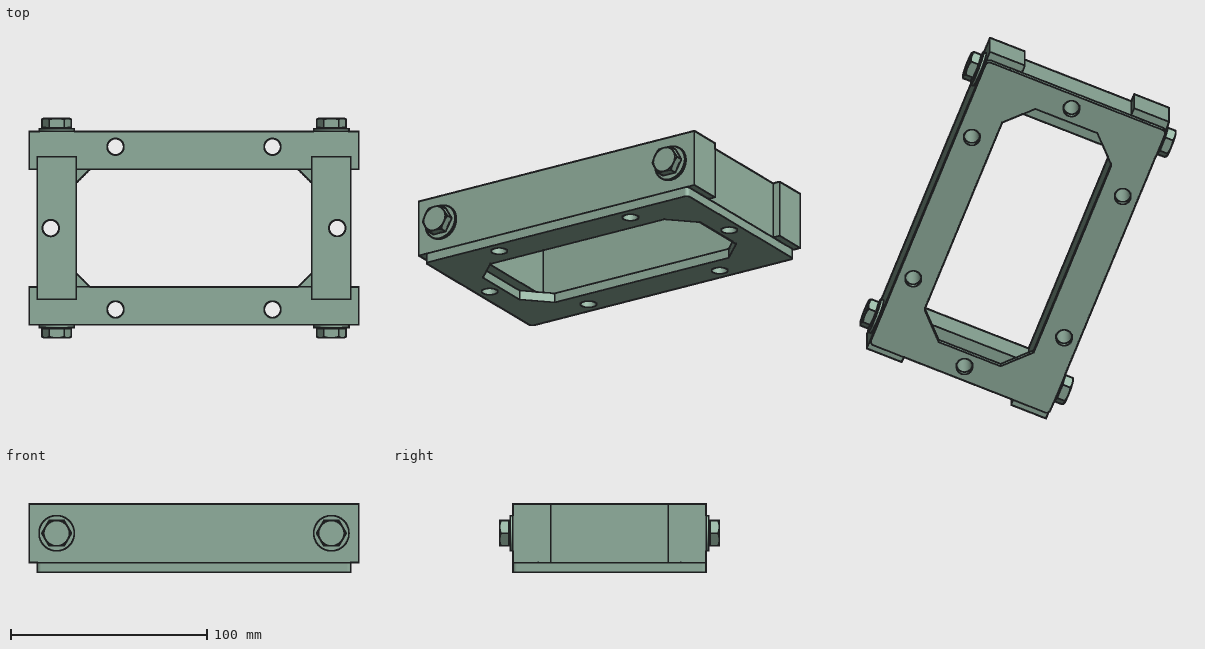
import cadquery as cq
import math

frame_length = 168.0
opening_length = 120.0
opening_width = 60.0
bar_width = 19.25
bar_height = 30.0
frame_width = opening_width + 2 * bar_width
hole_diameter = 8.3
long_hole_x = 40.0
long_hole_y = 41.45

end_bar_thickness = 20.0
notch_depth = 6.25
end_bar_inner_x = opening_length / 2
end_bar_outer_x = end_bar_inner_x + end_bar_thickness
end_bar_x = (end_bar_inner_x + end_bar_outer_x) / 2
end_bar_length = opening_width + 2 * notch_depth
end_hole_x = 73.0

gasket_height = 5.0
gasket_corner_radius = 2.0
gasket_length = 2 * end_bar_outer_x
gasket_end_width = 2 * (end_bar_outer_x - end_hole_x)
gasket_opening_length = gasket_length - 2 * gasket_end_width
corner_exposure = 7.0
gasket_inner_chamfer = corner_exposure + (gasket_opening_length - opening_length) / 2

bolt_diameter = 8.0
bolt_length = 25.0
flange_diameter = 18.0
flange_thickness = 1.4
collar_diameter = 11.5
collar_thickness = 0.6
head_across_flats = 13.0
head_height = 4.7
head_bevel_angle = math.radians(30)
bolt_x = end_bar_x
bolt_z = gasket_height + bar_height / 2

bar_hole_points = [(x, y) for x in (-long_hole_x, long_hole_x) for y in (-long_hole_y, long_hole_y)]
end_hole_points = [(-end_hole_x, 0), (end_hole_x, 0)]


def mounting_holes():
    """Vertical holes through the bars and the gasket."""
    return (
        cq.Workplane("XY")
        .pushPoints(bar_hole_points + end_hole_points)
        .circle(hole_diameter / 2)
        .extrude(gasket_height + bar_height)
    )


def bolt_shank(side_x, side_y):
    """Shank from the outer face of a long bar inwards to an end bar."""
    return (
        cq.Workplane("XZ", origin=(side_x * bolt_x, side_y * frame_width / 2, bolt_z))
        .circle(bolt_diameter / 2)
        .extrude(side_y * bolt_length)
    )


def end_bar_block(side_x):
    return (
        cq.Workplane("XY", origin=(side_x * end_bar_x, 0, gasket_height))
        .rect(end_bar_thickness, end_bar_length)
        .extrude(bar_height)
    )


def end_bar(side_x):
    bar = end_bar_block(side_x).cut(mounting_holes())
    for side_y in (-1, 1):
        bar = bar.cut(bolt_shank(side_x, side_y))
    return bar


def long_bar(side_y):
    """Long bar with a notch for each end bar and a hole for each bolt."""
    bar = (
        cq.Workplane("XY", origin=(0, side_y * (opening_width + bar_width) / 2, gasket_height))
        .rect(frame_length, bar_width)
        .extrude(bar_height)
        .cut(mounting_holes())
    )
    for side_x in (-1, 1):
        bar = bar.cut(end_bar_block(side_x)).cut(bolt_shank(side_x, side_y))
    return bar


def gasket():
    """Flat ring, set back under the end bars, with rounded outer corners and chamfered opening corners."""
    opening = (
        cq.Workplane("XY")
        .rect(gasket_opening_length, opening_width)
        .extrude(gasket_height)
        .edges("|Z")
        .chamfer(gasket_inner_chamfer)
    )
    return (
        cq.Workplane("XY")
        .rect(gasket_length, frame_width)
        .extrude(gasket_height)
        .edges("|Z")
        .fillet(gasket_corner_radius)
        .cut(opening)
        .cut(mounting_holes())
    )


def bolt_head(side_x, side_y):
    """Flange, narrow collar and hexagon, stacked outwards from the long bar."""
    collar_start = flange_thickness
    hexagon_start = collar_start + collar_thickness
    head_end = hexagon_start + head_height
    across_corners = head_across_flats / math.cos(math.pi / 6)
    bevel_width = (across_corners - head_across_flats) / 2
    bevel_depth = bevel_width * math.tan(head_bevel_angle)

    def section(start):
        outer_y = side_y * (frame_width / 2 + start)
        return cq.Workplane("XZ", origin=(side_x * bolt_x, outer_y, bolt_z))

    flange = section(0).circle(flange_diameter / 2).extrude(-side_y * flange_thickness)
    collar = section(collar_start).circle(collar_diameter / 2).extrude(-side_y * collar_thickness)
    hexagon = section(hexagon_start).polygon(6, across_corners).extrude(-side_y * head_height)
    envelope = (
        section(0)
        .circle(across_corners / 2)
        .extrude(-side_y * head_end)
        .faces(">Y" if side_y > 0 else "<Y")
        .chamfer(bevel_depth, bevel_width)
    )
    return flange.union(collar).union(hexagon.intersect(envelope))


def bolt(side_x, side_y):
    return bolt_head(side_x, side_y).union(bolt_shank(side_x, side_y))


long_bars = [long_bar(side_y).val() for side_y in (-1, 1)]
end_bars = [end_bar(side_x).val() for side_x in (-1, 1)]
bolts = [bolt(side_x, side_y).val() for side_x in (-1, 1) for side_y in (-1, 1)]
result = cq.Compound.makeCompound([*long_bars, *end_bars, gasket().val(), *bolts])